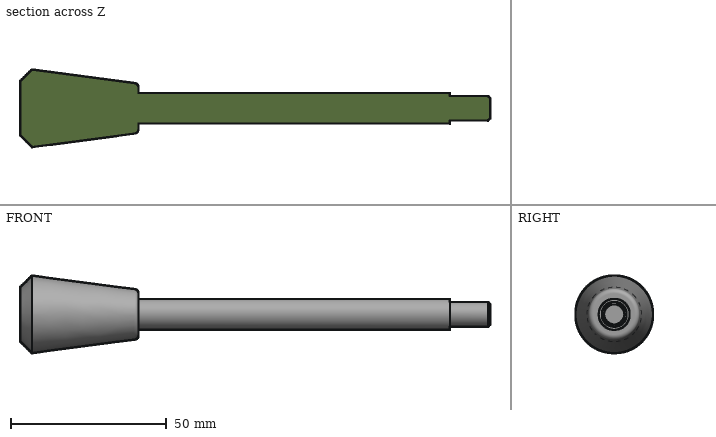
import cadquery as cq

total_length = 151.0
knob_length = 38.0
tip_length = 13.0

knob_diameter = 25.0
knob_small_diameter = 16.0
front_chamfer = 3.8
neck_fillet = 1.5

rod_diameter = 10.0
tip_diameter = 8.0
tip_chamfer = 0.8

rod_end = total_length - tip_length


def make_knob():
    """Tapered knob with a broad front chamfer and a rounded edge at the rod."""
    front_radius = knob_diameter / 2
    neck_radius = knob_small_diameter / 2
    return (
        cq.Workplane("XY")
        .moveTo(0, 0)
        .lineTo(0, front_radius - front_chamfer)
        .lineTo(front_chamfer, front_radius)
        .lineTo(knob_length, neck_radius)
        .lineTo(knob_length, 0)
        .close()
        .revolve(360, (0, 0, 0), (1, 0, 0))
        .faces(">X")
        .edges()
        .fillet(neck_fillet)
    )


def make_cylinder(start, end, diameter):
    """Solid cylinder along X between two positions."""
    return cq.Workplane("YZ", origin=(start, 0, 0)).circle(diameter / 2).extrude(end - start)


rod = make_cylinder(knob_length, rod_end, rod_diameter)
tip = make_cylinder(rod_end, total_length, tip_diameter).faces(">X").chamfer(tip_chamfer)

result = make_knob().union(rod).union(tip)